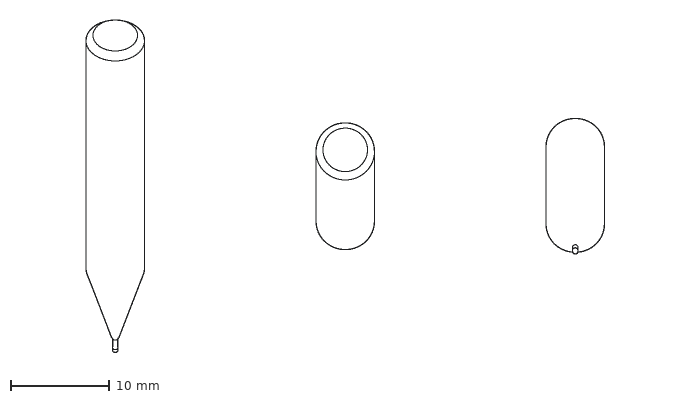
import cadquery as cq
import math

total_length = 45.0
shank_diameter = 6.0
top_chamfer = 0.7

cone_top = 11.8
cone_bottom = 2.2
neck_top = 1.95
cutter_top = 0.6

cone_half_angle = 15.0
neck_radius = 0.28
ball_radius = 0.295

shank_radius = shank_diameter / 2
cone_end_radius = shank_radius - (cone_top - cone_bottom) * math.tan(math.radians(cone_half_angle))


def make_shank():
    """Chamfered shank tapering through a cone and a short blend to the slim neck."""
    profile = (
        cq.Workplane("XZ")
        .moveTo(0, cutter_top)
        .lineTo(neck_radius, cutter_top)
        .lineTo(neck_radius, neck_top)
        .lineTo(cone_end_radius, cone_bottom)
        .lineTo(shank_radius, cone_top)
        .lineTo(shank_radius, total_length - top_chamfer)
        .lineTo(shank_radius - top_chamfer, total_length)
        .lineTo(0, total_length)
        .close()
    )
    return profile.revolve(360, (0, 0, 0), (0, 1, 0))


def make_cutter():
    """Short cylindrical cutting head with a hemispherical end."""
    arc_offset = ball_radius * math.sqrt(0.5)
    profile = (
        cq.Workplane("XZ")
        .moveTo(0, 0)
        .threePointArc((arc_offset, ball_radius - arc_offset), (ball_radius, ball_radius))
        .lineTo(ball_radius, cutter_top)
        .lineTo(0, cutter_top)
        .close()
    )
    return profile.revolve(360, (0, 0, 0), (0, 1, 0))


shank = make_shank()
cutter = make_cutter()

result = cq.Compound.makeCompound([shank.val(), cutter.val()])